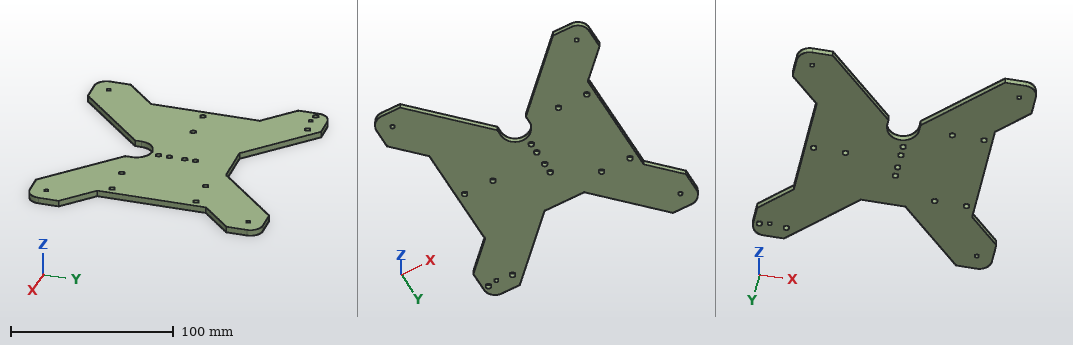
import cadquery as cq

side = 150.0
thickness = 4.0
corner_radius = 8.0
half_side = side / 2

arm_end = 54.0
body_half_width = 56.0
body_top = 35.0
arm_run = half_side - arm_end
body_shoulder = body_half_width - arm_run
top_half_width = body_top - arm_run

notch_radius = 10.0
notch_center_y = -27.0
notch_mouth_y = -(notch_radius + arm_run)

corner_hole_diameter = 2.5
mount_hole_diameter = 3.5
corner_hole_offset = 65.0
pair_spacing = 20.0
side_hole_x = 50.7
right_pair_y = 27.0
center_row_x = 3.0
center_row_offsets = (5.0, 11.8)
arm_pair_y = 66.3
arm_pair_x = -71.2
arm_pair_spacing = 17.0


def plate():
    """X-shaped plate with rounded outer corners and a notch at the bottom."""
    outline = (
        cq.Workplane("XY")
        .moveTo(-notch_radius, notch_mouth_y)
        .lineTo(-notch_radius, notch_center_y)
        .threePointArc((0, notch_center_y + notch_radius), (notch_radius, notch_center_y))
        .lineTo(notch_radius, notch_mouth_y)
        .lineTo(arm_end, -half_side)
        .lineTo(half_side, -half_side)
        .lineTo(half_side, -arm_end)
        .lineTo(body_half_width, -body_shoulder)
        .lineTo(body_half_width, body_shoulder)
        .lineTo(half_side, arm_end)
        .lineTo(half_side, half_side)
        .lineTo(arm_end, half_side)
        .lineTo(top_half_width, body_top)
        .lineTo(-top_half_width, body_top)
        .lineTo(-arm_end, half_side)
        .lineTo(-half_side, half_side)
        .lineTo(-half_side, arm_end)
        .lineTo(-body_half_width, body_shoulder)
        .lineTo(-body_half_width, -body_shoulder)
        .lineTo(-half_side, -arm_end)
        .lineTo(-half_side, -half_side)
        .lineTo(-arm_end, -half_side)
        .close()
    )
    blank = outline.extrude(thickness)
    outer_corners = [(x, y) for x in (-half_side, half_side) for y in (-half_side, half_side)]
    for x, y in outer_corners:
        corner_edge = cq.selectors.NearestToPointSelector((x, y, thickness / 2))
        blank = blank.edges("|Z").edges(corner_edge).fillet(corner_radius)
    return blank


def drill(body, points, diameter):
    """Cut through holes of one diameter at the given points."""
    pins = cq.Workplane("XY").pushPoints(points).circle(diameter / 2).extrude(thickness)
    return body.cut(pins)


corner_points = [(x, y) for x in (-corner_hole_offset, corner_hole_offset)
                 for y in (-corner_hole_offset, corner_hole_offset)]

left_pair = [(-side_hole_x, 0), (-side_hole_x + pair_spacing, 0)]
right_pairs = [(x, y) for x in (side_hole_x - pair_spacing, side_hole_x)
               for y in (-right_pair_y, right_pair_y)]
center_row = [(center_row_x, sign * offset) for offset in center_row_offsets for sign in (-1, 1)]
arm_pair = [(arm_pair_x, arm_pair_y), (arm_pair_x + arm_pair_spacing, arm_pair_y)]

result = drill(plate(), corner_points, corner_hole_diameter)
result = drill(result, left_pair + right_pairs + center_row + arm_pair, mount_hole_diameter)